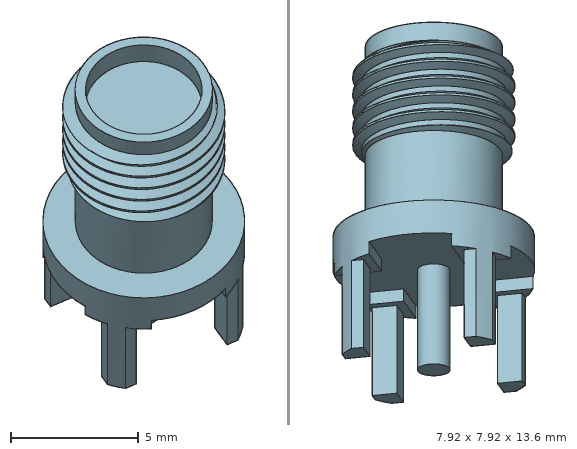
import cadquery as cq
import math

total_height = 13.6
thread_top = 12.84
thread_bottom = 9.03
flange_top = 5.6
flange_bottom = 4.22
pad_bottom = 3.7

flange_radius = 3.96
barrel_radius = 2.69
bore_radius = 2.28
bore_depth = 1.0
pin_radius = 0.64

channel_width = 3.35
leg_inner = 2.04
leg_width = 1.0

thread_radius = 3.18
root_radius = 2.84
pitch = 0.71
crest_width = 0.1
flank_angle = 30.0
crest_height_at_x_axis = 9.29
end_chamfer_angle = 30.0
root_overlap = 0.07
runout_turns = 1


def cylinder(radius, bottom, top):
    return cq.Workplane("XY").workplane(offset=bottom).circle(radius).extrude(top - bottom)


def make_base():
    """Flange with a cross-shaped channel below it that leaves four pads."""
    base = cylinder(flange_radius, pad_bottom, flange_top)
    channel_depth = flange_bottom - pad_bottom
    length = 2 * flange_radius
    for size_x, size_y in ((length, channel_width), (channel_width, length)):
        channel = cq.Workplane("XY").workplane(offset=pad_bottom).rect(size_x, size_y).extrude(channel_depth)
        base = base.cut(channel)
    return base


def make_legs():
    """Four square legs whose outer corners follow the flange edge."""
    leg_center = leg_inner + leg_width / 2
    legs = (
        cq.Workplane("XY")
        .rect(2 * leg_center, 2 * leg_center, forConstruction=True)
        .vertices()
        .rect(leg_width, leg_width)
        .extrude(flange_bottom)
    )
    return legs.intersect(cylinder(flange_radius, 0, flange_bottom))


def make_thread():
    """Helical ridge on a root cylinder, chamfered down to the barrel at both ends."""
    start = crest_height_at_x_axis - runout_turns * pitch
    length = thread_top - start + runout_turns * pitch
    inner_radius = root_radius - root_overlap
    half_crest = crest_width / 2
    half_base = half_crest + (thread_radius - inner_radius) * math.tan(math.radians(flank_angle))
    helix = cq.Wire.makeHelix(pitch, length, inner_radius).translate(cq.Vector(0, 0, start))
    ridge = (
        cq.Workplane("XZ")
        .polyline([
            (inner_radius, start - half_base),
            (thread_radius, start - half_crest),
            (thread_radius, start + half_crest),
            (inner_radius, start + half_base),
        ])
        .close()
        .sweep(cq.Workplane(obj=helix), isFrenet=True)
    )
    chamfer_height = (thread_radius - barrel_radius) * math.tan(math.radians(end_chamfer_angle))
    clearance = 0.03
    clear_height = clearance * math.tan(math.radians(end_chamfer_angle))
    envelope_radius = thread_radius + clearance
    envelope = (
        cq.Workplane("XZ")
        .polyline([
            (0, thread_bottom),
            (barrel_radius, thread_bottom),
            (envelope_radius, thread_bottom + chamfer_height + clear_height),
            (envelope_radius, thread_top - chamfer_height - clear_height),
            (barrel_radius, thread_top),
            (0, thread_top),
        ])
        .close()
        .revolve(360, (0, 0), (0, 1))
    )
    root = cylinder(root_radius, thread_bottom, thread_top)
    return root.intersect(envelope).union(ridge.intersect(envelope))


barrel = cylinder(barrel_radius, flange_bottom, total_height)
bore = cylinder(bore_radius, total_height - bore_depth, total_height)
pin = cylinder(pin_radius, 0, flange_top)

result = make_base().union(make_legs()).union(pin).union(barrel).union(make_thread()).cut(bore)